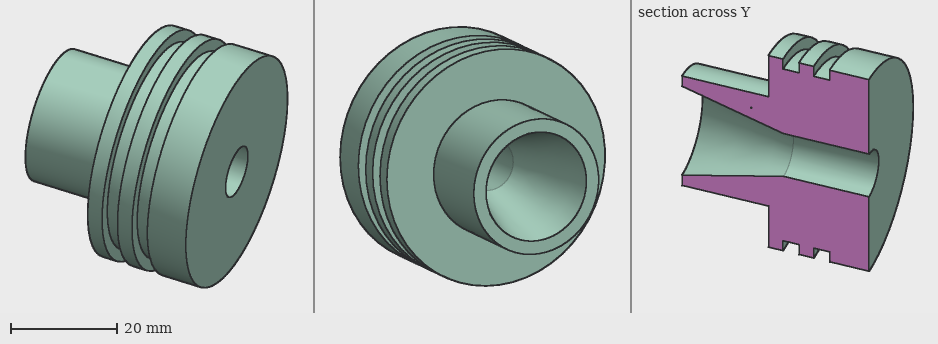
import cadquery as cq

total_length = 37.75
spigot_length = 17.43
taper_length = 20.48
rim_width = 3.0
groove_width = 3.2
groove_count = 2

head_diameter = 45.5
groove_diameter = 40.8
spigot_diameter = 26.03
bore_mouth_diameter = 20.95
bore_exit_diameter = 10.0


def cylinder(diameter, start, length):
    """Solid cylinder along +X, beginning at the given X position."""
    return cq.Workplane("YZ", origin=(start, 0, 0)).circle(diameter / 2).extrude(length)


def groove(start):
    """Ring to remove from the head, leaving the groove floor."""
    ring = cylinder(head_diameter, start, groove_width)
    return ring.cut(cylinder(groove_diameter, start, groove_width))


def funnel_bore():
    """Through bore: a taper from the spigot mouth, then a straight hole."""
    profile = [
        (0, 0),
        (0, bore_mouth_diameter / 2),
        (taper_length, bore_exit_diameter / 2),
        (total_length, bore_exit_diameter / 2),
        (total_length, 0),
    ]
    return cq.Workplane("XZ").polyline(profile).close().revolve(360, (0, 0, 0), (1, 0, 0))


body = cylinder(spigot_diameter, 0, total_length)
body = body.union(cylinder(head_diameter, spigot_length, total_length - spigot_length))

for index in range(groove_count):
    groove_start = spigot_length + rim_width + index * (rim_width + groove_width)
    body = body.cut(groove(groove_start))

result = body.cut(funnel_bore())